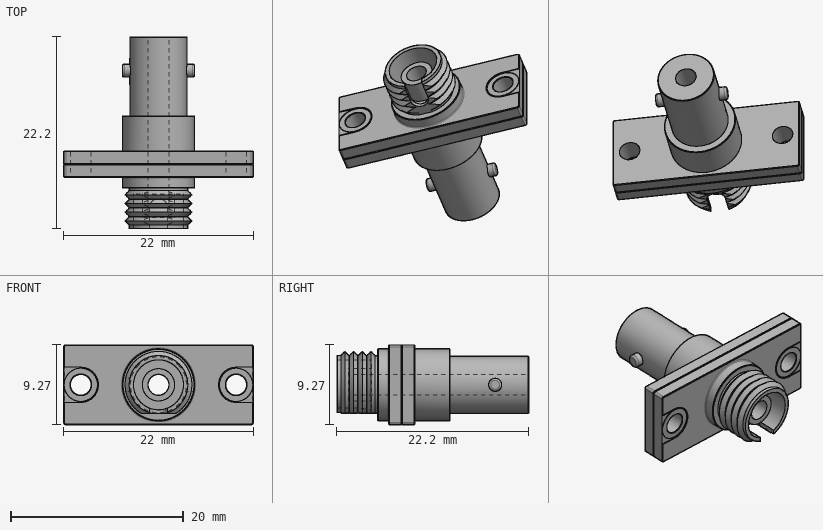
import cadquery as cq

flange_length = 21.97
flange_height = 9.27
flange_thickness = 1.524
flange_corner_radius = 0.25
flange_edge_chamfer = 0.09

mount_hole_spacing = 18.0
mount_hole_diameter = 2.4
mount_hole_chamfer = 0.06
relief_width = 4.08
relief_depth = flange_edge_chamfer
washer_seat_diameter = 3.86
washer_seat_height = 0.05

body_length = 22.23
front_end = -7.49
rear_end = front_end + body_length
collar_radius = 8.382 / 2
collar_front = -2.79
collar_rear = 5.59
collar_chamfer = 0.08
collar_root_fillet = 0.09
barrel_radius = 6.66 / 2
barrel_chamfer = 0.08
through_bore_diameter = 2.4

nose_radius = 6.8 / 2
thread_crest_radius = 7.75 / 2
thread_pitch = 1.01
thread_count = 4
thread_start = -3.08
flat_height = -3.31
socket_diameter = 5.79
socket_depth = 4.0
sleeve_diameter = 3.745
sleeve_recess = 1.31
key_width = 2.11
key_depth = 3.5

pin_diameter = 1.524
pin_span = 2 * collar_radius
pin_fillet = 0.25
pin_center = 10.83


def cylinder(diameter, start, end, x=0.0):
    """Cylinder along Y between two stations."""
    plane = cq.Workplane("XZ", origin=(x, start, 0))
    return plane.circle(diameter / 2).extrude(start - end)


def make_flange(start):
    """One flange plate occupying start to start + thickness in Y."""
    plate = (
        cq.Workplane("XZ", origin=(0, start, 0))
        .rect(flange_length, flange_height)
        .extrude(-flange_thickness)
        .edges("|Y")
        .fillet(flange_corner_radius)
    )
    return plate.faces("<Y or >Y").chamfer(flange_edge_chamfer)


def make_body():
    """Nose core, collar and barrel revolved about the optical axis."""
    flange_front = -flange_thickness
    profile = (
        cq.Workplane("XY")
        .moveTo(0, front_end)
        .lineTo(nose_radius, front_end)
        .lineTo(nose_radius, collar_front)
        .lineTo(collar_radius - collar_chamfer, collar_front)
        .lineTo(collar_radius, collar_front + collar_chamfer)
        .lineTo(collar_radius, flange_front - collar_root_fillet)
        .radiusArc((collar_radius + collar_root_fillet, flange_front), collar_root_fillet)
        .lineTo(collar_radius + collar_root_fillet, 0)
        .lineTo(collar_radius, 0)
        .lineTo(collar_radius, collar_rear - collar_chamfer)
        .lineTo(collar_radius - collar_chamfer, collar_rear)
        .lineTo(barrel_radius, collar_rear)
        .lineTo(barrel_radius, rear_end - barrel_chamfer)
        .lineTo(barrel_radius - barrel_chamfer, rear_end)
        .lineTo(0, rear_end)
        .close()
    )
    return profile.revolve(360, (0, 0, 0), (0, 1, 0))


def make_thread_ridge(start):
    """Ring with 45 degree flanks whose rear foot is at start."""
    height = thread_crest_radius - nose_radius
    profile = (
        cq.Workplane("XY")
        .moveTo(socket_diameter / 2, start)
        .lineTo(nose_radius, start)
        .lineTo(thread_crest_radius, start - height)
        .lineTo(nose_radius, start - 2 * height)
        .lineTo(socket_diameter / 2, start - 2 * height)
        .close()
    )
    return profile.revolve(360, (0, 0, 0), (0, 1, 0))


def make_pins():
    """Two opposed bayonet pins, as one rod through the barrel."""
    rod = (
        cq.Workplane("YZ", origin=(-pin_span / 2, pin_center, 0))
        .circle(pin_diameter / 2)
        .extrude(pin_span)
    )
    return rod.faces("<X or >X").edges().fillet(pin_fillet)


def make_mount_relief(side):
    """Shallow open-ended relief around a mounting hole, sparing its raised washer seat."""
    x = side * mount_hole_spacing / 2
    front = -flange_thickness
    floor = front + relief_depth
    channel = (
        cq.Workplane("XZ", origin=(x + side * relief_width / 2, front, 0))
        .rect(relief_width, relief_width)
        .extrude(-relief_depth)
    )
    seat = cylinder(washer_seat_diameter, floor - washer_seat_height, floor, x)
    return cylinder(relief_width, front, floor, x).union(channel).cut(seat)


def make_mount_hole(side):
    """Mounting hole through both flanges with a chamfered mouth in its washer seat."""
    x = side * mount_hole_spacing / 2
    seat_face = -flange_thickness + relief_depth - washer_seat_height
    hole_radius = mount_hole_diameter / 2
    mouth_radius = hole_radius + mount_hole_chamfer
    profile = (
        cq.Workplane("XY")
        .moveTo(x, seat_face)
        .lineTo(x + mouth_radius, seat_face)
        .lineTo(x + hole_radius, seat_face + mount_hole_chamfer)
        .lineTo(x + hole_radius, flange_thickness)
        .lineTo(x, flange_thickness)
        .close()
    )
    return profile.revolve(360, (x, 0, 0), (x, 1, 0))


def make_socket():
    """Annular socket around the recessed center sleeve."""
    socket = cylinder(socket_diameter, front_end, front_end + socket_depth)
    sleeve = cylinder(sleeve_diameter, front_end + sleeve_recess, front_end + socket_depth)
    return socket.cut(sleeve)


def make_key_slot():
    """Round-ended keyway through the lower wall of the nose."""
    slot_end = front_end + key_depth
    center = slot_end - key_width / 2
    half_width = key_width / 2
    slot = (
        cq.Workplane("XY")
        .moveTo(-half_width, front_end)
        .lineTo(half_width, front_end)
        .lineTo(half_width, center)
        .threePointArc((0, slot_end), (-half_width, center))
        .close()
        .extrude(-thread_crest_radius)
    )
    return slot.cut(cylinder(sleeve_diameter, front_end, slot_end))


def make_flat():
    """Block below the flat on the underside of the nose."""
    width = 2 * thread_crest_radius
    length = collar_front - front_end
    block = cq.Workplane("XY").box(width, length, width, centered=(True, False, False))
    return block.translate((0, front_end, flat_height - width))


result = make_body()
for index in range(thread_count):
    result = result.union(make_thread_ridge(thread_start - index * thread_pitch))
result = result.cut(make_flat())
result = result.cut(make_socket()).cut(make_key_slot())
result = result.union(make_flange(-flange_thickness)).union(make_flange(0)).union(make_pins())
for side in (-1, 1):
    result = result.cut(make_mount_relief(side)).cut(make_mount_hole(side))
result = result.cut(cylinder(through_bore_diameter, front_end, rear_end))